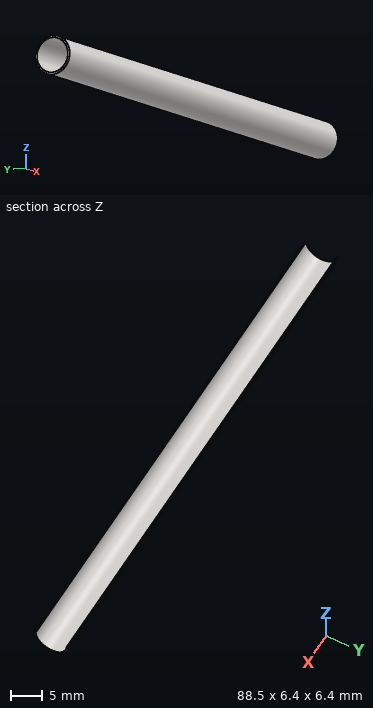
import cadquery as cq

length = 88.5
outer_diameter = 6.4
wall_thickness = 0.35

inner_diameter = outer_diameter - 2 * wall_thickness

result = (
    cq.Workplane("YZ", origin=(-length / 2, 0, 0))
    .circle(outer_diameter / 2)
    .circle(inner_diameter / 2)
    .extrude(length)
)